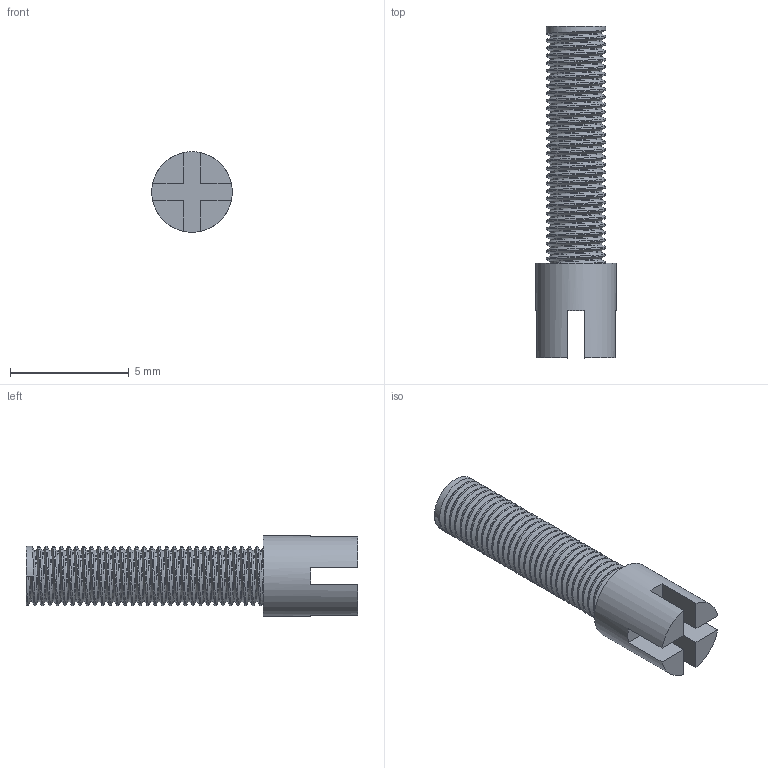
import cadquery as cq
import math

head_diameter = 3.4
head_length = 4.0
slot_width = 0.72
slot_depth = 2.0

shank_diameter = 2.5
shank_length = 10.0
pitch = 0.3175
thread_depth = 0.165
root_width = 0.065
flank_half_angle = math.radians(30)
tip_land = 0.008
cutter_overhang = 0.03
groove_overrun = 0.5 * pitch

shank_radius = shank_diameter / 2
root_radius = shank_radius - thread_depth
cutter_radius = shank_radius + cutter_overhang


def groove_half_width(radius):
    """Half the axial width of the V groove at a given radius."""
    return root_width / 2 + (radius - root_radius) * math.tan(flank_half_angle)


def make_cylinder(diameter, length, start):
    """Cylinder along +Z whose seam lies at +Y, clear of the groove's end faces."""
    plane = cq.Plane(origin=(0, 0, start), xDir=(0, 1, 0), normal=(0, 0, 1))
    return cq.Workplane(plane).circle(diameter / 2).extrude(length)


def make_groove():
    """Right-hand helical groove starting at the tip, on the -X side."""
    start = tip_land + groove_half_width(shank_radius)
    root_half = root_width / 2
    mouth_half = groove_half_width(cutter_radius)
    profile = (
        cq.Workplane("XZ")
        .moveTo(root_radius, -root_half)
        .lineTo(cutter_radius, -mouth_half)
        .lineTo(cutter_radius, mouth_half)
        .lineTo(root_radius, root_half)
        .close()
    )
    helix_height = shank_length + groove_overrun - start
    helix = cq.Wire.makeHelix(pitch, helix_height, shank_radius)
    groove = profile.sweep(cq.Workplane(obj=helix), isFrenet=True)
    return groove.translate((0, 0, start)).rotate((0, 0, 0), (0, 0, 1), 180)


def make_shank():
    """Threaded shank with its tip at the origin, running along +Z."""
    blank = make_cylinder(shank_diameter, shank_length, 0)
    return blank.cut(make_groove())


def make_head():
    """Cylindrical head beyond the shank, with a cross slot in its end face."""
    head = make_cylinder(head_diameter, head_length, shank_length)
    slot_floor = shank_length + head_length - slot_depth
    for slot_size in ((head_diameter, slot_width), (slot_width, head_diameter)):
        slot = (
            cq.Workplane("XY")
            .workplane(offset=slot_floor)
            .rect(*slot_size)
            .extrude(slot_depth)
        )
        head = head.cut(slot)
    return head


screw = make_shank().union(make_head())
result = screw.rotate((0, 0, 0), (1, 0, 0), 90).translate((0, shank_length, 0))